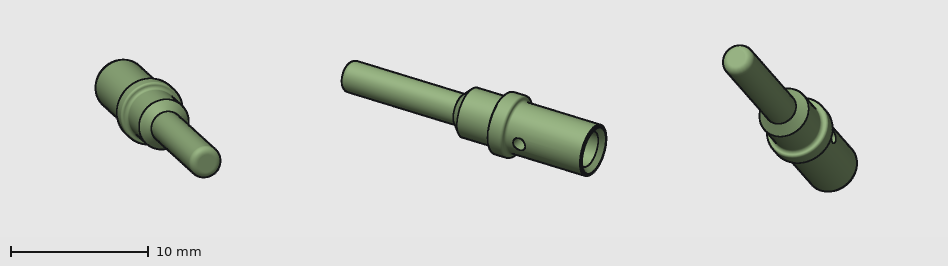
import cadquery as cq

total_length = 20.57
barrel_diameter = 3.9
flange_diameter = 4.75
collar_diameter = 3.8
pin_diameter = 2.39

flange_start = 6.34
flange_end = 7.61
collar_end = 10.35

barrel_end_chamfer = 0.08
flange_edge_radius = 0.19
barrel_root_radius = 0.19
collar_root_radius = 0.27
pin_tip_radius = 0.51

bore_diameter = 2.7
bore_depth = 2.0
lead_in_diameter = 3.5
cross_hole_diameter = 1.0
cross_hole_position = 5.15

barrel_radius = barrel_diameter / 2
flange_radius = flange_diameter / 2
collar_radius = collar_diameter / 2
pin_radius = pin_diameter / 2
bore_radius = bore_diameter / 2
lead_in_radius = lead_in_diameter / 2


def cylinder(start, end, radius):
    """Solid cylinder on the X axis between two places."""
    return cq.Workplane("YZ", origin=(start, 0, 0)).circle(radius).extrude(end - start)


def circle_edge(position, radius):
    """Selector for a round edge centred on the X axis."""
    margin = 0.002
    reach = radius + margin
    return cq.selectors.BoxSelector(
        (position - margin, -reach, -reach), (position + margin, reach, reach), boundingbox=True
    )


def make_body():
    """Barrel, flange, collar, 45 degree cone and pin as one turned solid."""
    cone_end = collar_end + collar_radius - pin_radius
    body = (
        cq.Workplane("XY")
        .lineTo(0, barrel_radius)
        .lineTo(flange_start, barrel_radius)
        .lineTo(flange_start, flange_radius)
        .lineTo(flange_end, flange_radius)
        .lineTo(flange_end, collar_radius)
        .lineTo(collar_end, collar_radius)
        .lineTo(cone_end, pin_radius)
        .lineTo(total_length, pin_radius)
        .lineTo(total_length, 0)
        .close()
        .revolve(360, (0, 0, 0), (1, 0, 0))
    )
    body = body.edges(circle_edge(0, barrel_radius)).chamfer(barrel_end_chamfer)
    body = body.edges(circle_edge(total_length, pin_radius)).fillet(pin_tip_radius)
    body = body.edges(circle_edge(flange_start, barrel_radius)).fillet(barrel_root_radius)
    body = body.edges(circle_edge(flange_end, collar_radius)).fillet(collar_root_radius)
    for face_position in (flange_start, flange_end):
        body = body.edges(circle_edge(face_position, flange_radius)).fillet(flange_edge_radius)
    return body


def make_bore():
    """Flat-bottomed bore with a 45 degree lead-in at its mouth."""
    lead_in_depth = lead_in_radius - bore_radius
    lead_in = (
        cq.Workplane("XY")
        .lineTo(0, lead_in_radius)
        .lineTo(lead_in_depth, bore_radius)
        .lineTo(lead_in_depth, 0)
        .close()
        .revolve(360, (0, 0, 0), (1, 0, 0))
    )
    return cylinder(0, bore_depth, bore_radius).union(lead_in)


def make_cross_hole():
    """Cross hole from the +Y side down to the axis."""
    return (
        cq.Workplane("XZ", origin=(cross_hole_position, 0, 0))
        .circle(cross_hole_diameter / 2)
        .extrude(-barrel_diameter)
    )


result = make_body().cut(make_bore()).cut(make_cross_hole())